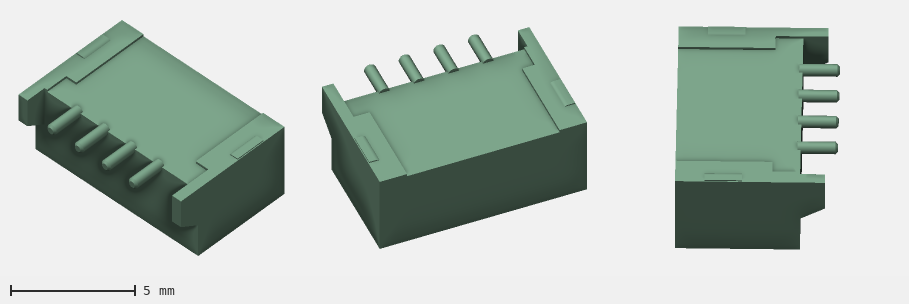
import cadquery as cq

width = 9.0
body_depth = 5.0
rim_height = 3.7
floor_height = 3.58

arm_reach = 1.0
arm_thickness = 0.495
arm_root_height = 1.7
arm_slope_rise = 0.58

rim_rear_width = 1.19
left_rim_front_width = 0.64
right_rim_front_width = arm_thickness
rim_step_depth = 3.9

pin_count = 4
pin_pitch = 1.5
pin_diameter = 0.5
pin_axis_height = 3.5
pin_overhang = 1.49
pin_embed = 0.135
pin_chamfer = 0.1

tab_outer_gap = 0.04
tab_flat_width = 0.29
tab_round_width = 0.16
tab_rear_gap = 1.18
tab_length = 1.5
tab_rise = 0.05

half_width = width / 2


def both_sides(shape):
    """Join a shape on the -X side with its mirror image on the +X side."""
    return shape.union(shape.mirror("YZ"))


def make_body():
    block = cq.Workplane("XY").box(width, body_depth, floor_height, centered=(True, False, False))
    return block.translate((0, -body_depth, 0))


def make_arm():
    """Side plate whose front end overhangs the body on a sloped underside."""
    arm_front = -(body_depth + arm_reach)
    profile = [
        (0, 0),
        (-body_depth, 0),
        (-body_depth, arm_root_height),
        (arm_front, arm_root_height + arm_slope_rise),
        (arm_front, rim_height),
        (0, rim_height),
    ]
    return cq.Workplane("YZ", origin=(-half_width, 0, 0)).polyline(profile).close().extrude(arm_thickness)


def make_rim(front_width):
    """Stepped strip on the -X side, standing above the top face and narrower toward the front."""
    outline = [
        (-half_width, 0),
        (-half_width + rim_rear_width, 0),
        (-half_width + rim_rear_width, -rim_step_depth),
        (-half_width + front_width, -rim_step_depth),
        (-half_width + front_width, -body_depth),
        (-half_width, -body_depth),
    ]
    return cq.Workplane("XY").polyline(outline).close().extrude(rim_height)


def make_tab():
    """Flat-topped tab whose inner edge curves down tangentially to the rim."""
    outer_x = -half_width + tab_outer_gap
    flat_end_x = outer_x + tab_flat_width
    inner_x = flat_end_x + tab_round_width
    top_height = rim_height + tab_rise
    return (
        cq.Workplane("XZ", origin=(0, -tab_rear_gap, 0))
        .moveTo(outer_x, floor_height)
        .lineTo(outer_x, top_height)
        .lineTo(flat_end_x, top_height)
        .tangentArcPoint((inner_x, rim_height), relative=False)
        .lineTo(inner_x, floor_height)
        .close()
        .extrude(tab_length)
    )


def make_pins():
    first_x = -pin_pitch * (pin_count - 1) / 2
    centres = [(first_x + i * pin_pitch, pin_axis_height) for i in range(pin_count)]
    return (
        cq.Workplane("XZ", origin=(0, pin_embed - body_depth, 0))
        .pushPoints(centres)
        .circle(pin_diameter / 2)
        .extrude(pin_embed + pin_overhang)
        .faces("<Y")
        .chamfer(pin_chamfer)
    )


result = (
    make_body()
    .union(both_sides(make_arm()))
    .union(make_rim(left_rim_front_width))
    .union(make_rim(right_rim_front_width).mirror("YZ"))
    .union(both_sides(make_tab()))
    .union(make_pins())
)